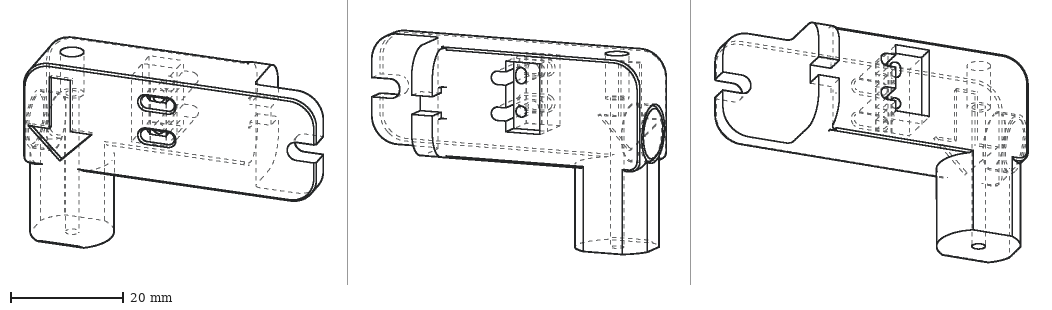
import cadquery as cq

length = 55.3
depth = 13.0
height = 35.0
edge_chamfer = 0.4

block_height = 20.0
block_bottom = height - block_height
block_middle_z = height - block_height / 2
corner_radius = 5.0
lower_left_radius = 2.0

flange_thickness = 4.1
body_end_x = 42.2
flange_fillet = 1.0
notch_width = 3.5
notch_depth = 5.4

hook_thickness = 4.0
hook_reach = 4.0
hook_left_x = body_end_x - hook_thickness
hook_back_y = depth + hook_reach
hook_seat_y = hook_back_y - corner_radius
hook_fillet = 1.0
hook_fillet_setback = 1.1

stem_x = 7.0
stem_radius = 7.5
stem_overlap = 4.0
middle_y = depth / 2
bore_diameter = 2.4
counterbore_diameter = 4.2
counterbore_depth = 8.0

arrow_shaft_width = 4.0
arrow_head_width = 12.0
arrow_top = 32.5
arrow_shoulder = 22.5
arrow_tip = 16.5
arrow_depth = 1.0

plug_diameter = 10.0
plug_chamfer = 0.5
plug_length = 4.0
plug_hole_diameter = 10.5
plug_z = 21.0

switch_width = 6.5
switch_thickness = 5.8
switch_height = 12.8
switch_right_x = 25.7
switch_left_x = switch_right_x - switch_width
switch_front_y = middle_y - switch_thickness / 2
switch_hole_x = 24.25
switch_hole_diameter = 2.0
switch_hole_spacing = 6.5
upper_hole_height = 2.9
switch_z = 27.0
switch_z_range = (switch_z - switch_height / 2, switch_z + switch_height / 2)
switch_step_width = 3.0
switch_step_depth = 0.3
slot_x = 25.3
slot_length = 6.4
slot_width = 2.4
slot_chamfer = 0.4
slot_flare_angle = 45.0


def box(x_range, y_range, z_range):
    """Box between the given limits along each axis."""
    size = [high - low for low, high in (x_range, y_range, z_range)]
    corner = (x_range[0], y_range[0], z_range[0])
    return cq.Workplane("XY").box(*size, centered=False).translate(corner)


def front_plane(y):
    """Sketch plane with X right and Z up; a negative extrusion goes into the part, toward +Y."""
    return cq.Workplane(cq.Plane((0, y, 0), xDir=(1, 0, 0), normal=(0, -1, 0)))


def make_block():
    """Rounded slab, relieved behind the flange, with chamfered front and back edges."""
    block = box((0, length), (0, depth), (block_bottom, height))
    block = block.edges("|Y").edges(">Z or >X").fillet(corner_radius)
    block = block.faces("<Y").chamfer(edge_chamfer)
    envelope = box((0, length), (0, depth), (block_bottom, height))
    block = block.intersect(envelope.edges("|Y and <X and <Z").fillet(lower_left_radius))
    block = block.faces(">Y").chamfer(edge_chamfer)
    relief = box((body_end_x, 2 * length), (flange_thickness, 2 * depth), (0, 2 * height))
    relief = relief.edges("|Z and <X and <Y").fillet(flange_fillet)
    hook_seat = box((hook_left_x, body_end_x), (hook_seat_y, depth), (0, height))
    return block.cut(relief).cut(hook_seat)


def make_stem():
    """Round column with flats at the left, front and back of the block."""
    stem_top = block_bottom + stem_overlap
    stem = cq.Workplane("XY").center(stem_x, middle_y).circle(stem_radius).extrude(stem_top)
    stem = stem.intersect(box((0, length), (0, depth), (0, stem_top)))
    return stem.faces("<Y").chamfer(edge_chamfer)


def make_hooks():
    """Rounded tab on the back with a gap through it, and fillets at its left root."""
    outline = box((0, body_end_x), (hook_seat_y - corner_radius, hook_back_y), (block_bottom, height))
    outline = outline.edges("|X and >Y").fillet(corner_radius)
    tab = outline.intersect(box((hook_left_x, body_end_x), (0, hook_back_y), (0, height)))
    gap = box(
        (0, length),
        (depth, hook_back_y),
        (block_middle_z - notch_width / 2, block_middle_z + notch_width / 2),
    )

    fillet_start_x = hook_left_x - hook_fillet
    fillet_top_y = depth + hook_fillet
    strip = box((fillet_start_x, hook_left_x), (depth - edge_chamfer, fillet_top_y), (0, height))
    hollow = cq.Workplane("XY").center(fillet_start_x, fillet_top_y).circle(hook_fillet).extrude(height)
    strip_gap = notch_width / 2 + hook_fillet_setback
    clear_middle = box(
        (0, length),
        (0, hook_back_y),
        (block_middle_z - strip_gap, block_middle_z + strip_gap),
    )
    strip = strip.cut(hollow).cut(clear_middle).intersect(outline)
    return tab.union(strip).cut(gap)


def make_notch():
    """Open notch with a round end, through the flange."""
    notch_end_x = length - notch_depth
    notch_length = 2 * notch_depth
    return (
        front_plane(0)
        .center(notch_end_x + notch_length / 2, block_middle_z)
        .slot2D(notch_length, notch_width)
        .extrude(-flange_thickness)
    )


def make_arrow():
    """Downward arrow for engraving."""
    half_shaft = arrow_shaft_width / 2
    half_head = arrow_head_width / 2
    return (
        front_plane(0)
        .moveTo(stem_x - half_shaft, arrow_top)
        .lineTo(stem_x + half_shaft, arrow_top)
        .lineTo(stem_x + half_shaft, arrow_shoulder)
        .lineTo(stem_x + half_head, arrow_shoulder)
        .lineTo(stem_x, arrow_tip)
        .lineTo(stem_x - half_head, arrow_shoulder)
        .lineTo(stem_x - half_shaft, arrow_shoulder)
        .close()
        .extrude(-arrow_depth)
    )


def make_bore():
    """Vertical bore through the stem, counterbored from the top."""
    bore = cq.Workplane("XY").center(stem_x, middle_y).circle(bore_diameter / 2).extrude(height)
    counterbore = (
        cq.Workplane("XY", origin=(stem_x, middle_y, height - counterbore_depth))
        .circle(counterbore_diameter / 2)
        .extrude(counterbore_depth)
    )
    return bore.union(counterbore)


def make_slot(z):
    """Adjusting slot through the block, flared at the front face."""
    through = front_plane(0).center(slot_x, z).slot2D(slot_length, slot_width).extrude(-depth)
    flare = (
        front_plane(0)
        .center(slot_x, z)
        .slot2D(slot_length + 2 * slot_chamfer, slot_width + 2 * slot_chamfer)
        .extrude(-slot_chamfer, taper=slot_flare_angle)
    )
    return through.union(flare)


def make_housing():
    """Block, stem and hooks in one piece, with all openings cut."""
    housing = make_block().union(make_stem()).union(make_hooks())
    housing = housing.cut(make_notch()).cut(make_arrow()).cut(make_bore())
    plug_hole = (
        cq.Workplane("YZ").center(middle_y, plug_z).circle(plug_hole_diameter / 2).extrude(plug_length)
    )
    housing = housing.cut(plug_hole)
    for side in (-1, 1):
        housing = housing.cut(make_slot(switch_z + side * switch_hole_spacing / 2))
    switch_pocket = box((switch_left_x, switch_right_x), (switch_front_y, depth), switch_z_range)
    return housing.cut(switch_pocket)


def make_plug():
    """Disc with a chamfered outer rim, flush with the left face."""
    plug = cq.Workplane("YZ").center(middle_y, plug_z).circle(plug_diameter / 2).extrude(plug_length)
    return plug.faces("<X").chamfer(plug_chamfer)


def make_switch():
    """Rectangular switch with a lowered right-hand strip, a round lower hole and a long upper hole."""
    back_y = switch_front_y + switch_thickness
    switch = box((switch_left_x, switch_right_x), (switch_front_y, back_y), switch_z_range)
    step = box(
        (switch_right_x - switch_step_width, switch_right_x),
        (switch_front_y, switch_front_y + switch_step_depth),
        switch_z_range,
    )
    lower_hole = (
        front_plane(switch_front_y)
        .center(switch_hole_x, switch_z - switch_hole_spacing / 2)
        .circle(switch_hole_diameter / 2)
        .extrude(-switch_thickness)
    )
    upper_hole = (
        front_plane(switch_front_y)
        .center(switch_hole_x, switch_z + switch_hole_spacing / 2)
        .slot2D(upper_hole_height, switch_hole_diameter, angle=90)
        .extrude(-switch_thickness)
    )
    return switch.cut(step).cut(lower_hole).cut(upper_hole)


housing = make_housing()
plug = make_plug()
switch = make_switch()

result = cq.Compound.makeCompound([housing.val(), plug.val(), switch.val()])